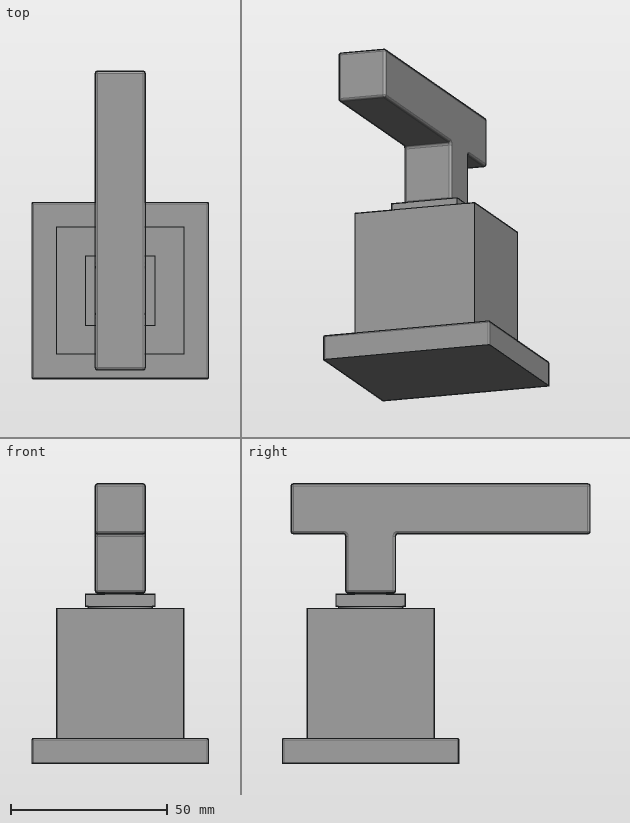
import cadquery as cq

PLATE_SIDE = 56.39
PLATE_HEIGHT = 7.94
PLATE_EDGE_RADIUS = 0.51

BODY_SIDE = 40.64
BODY_HEIGHT = 41.5

LOWER_NECK_DIAMETER = 20.6
LOWER_NECK_HEIGHT = 0.7

COLLAR_SIDE = 22.22
COLLAR_HEIGHT = 3.9

UPPER_NECK_DIAMETER = 10.0
UPPER_NECK_HEIGHT = 0.38

TOTAL_HEIGHT = 89.28
TOTAL_DEPTH = 98.3
LEVER_WIDTH = 15.98
LEVER_FRONT_REACH = 25.4
LEVER_BACK_REACH = TOTAL_DEPTH - PLATE_SIDE / 2
LEVER_EDGE_RADIUS = 0.8

BODY_BOTTOM = PLATE_HEIGHT
LOWER_NECK_BOTTOM = BODY_BOTTOM + BODY_HEIGHT
COLLAR_BOTTOM = LOWER_NECK_BOTTOM + LOWER_NECK_HEIGHT
UPPER_NECK_BOTTOM = COLLAR_BOTTOM + COLLAR_HEIGHT
STEM_BOTTOM = UPPER_NECK_BOTTOM + UPPER_NECK_HEIGHT
BAR_BOTTOM = TOTAL_HEIGHT - LEVER_WIDTH


def square_block(side, bottom, height):
    """Square block centred on the Z axis."""
    return cq.Workplane("XY").workplane(offset=bottom).rect(side, side).extrude(height)


def round_neck(diameter, bottom, height):
    """Short cylinder centred on the Z axis."""
    return cq.Workplane("XY").workplane(offset=bottom).circle(diameter / 2).extrude(height)


def base_plate():
    """Plate with rounded corners and a rounded top rim; its bottom rim stays sharp."""
    plate = square_block(PLATE_SIDE, 0, PLATE_HEIGHT)
    return plate.edges("|Z or >Z").fillet(PLATE_EDGE_RADIUS)


def lever():
    """T-shaped lever with every edge rounded, including the inner corners at the stem."""
    half_stem = LEVER_WIDTH / 2
    profile = [
        (-half_stem, STEM_BOTTOM),
        (half_stem, STEM_BOTTOM),
        (half_stem, BAR_BOTTOM),
        (LEVER_BACK_REACH, BAR_BOTTOM),
        (LEVER_BACK_REACH, TOTAL_HEIGHT),
        (-LEVER_FRONT_REACH, TOTAL_HEIGHT),
        (-LEVER_FRONT_REACH, BAR_BOTTOM),
        (-half_stem, BAR_BOTTOM),
    ]
    blank = cq.Workplane("YZ").polyline(profile).close().extrude(LEVER_WIDTH / 2, both=True)
    return blank.edges().fillet(LEVER_EDGE_RADIUS)


result = (
    base_plate()
    .union(square_block(BODY_SIDE, BODY_BOTTOM, BODY_HEIGHT))
    .union(round_neck(LOWER_NECK_DIAMETER, LOWER_NECK_BOTTOM, LOWER_NECK_HEIGHT))
    .union(square_block(COLLAR_SIDE, COLLAR_BOTTOM, COLLAR_HEIGHT))
    .union(round_neck(UPPER_NECK_DIAMETER, UPPER_NECK_BOTTOM, UPPER_NECK_HEIGHT))
    .union(lever())
)